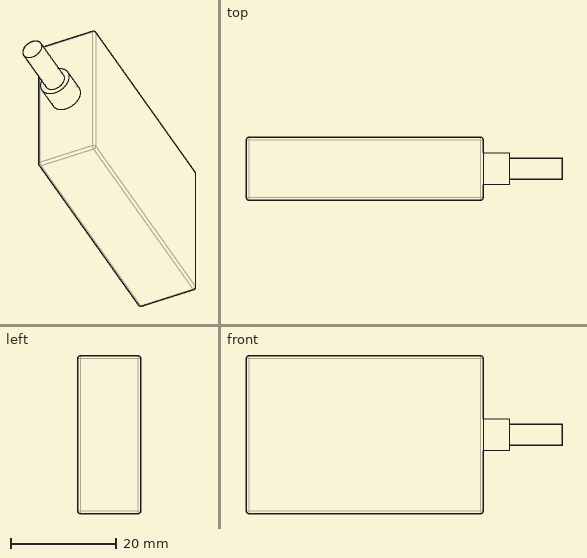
import cadquery as cq

housing_length = 45.0
housing_depth = 12.0
housing_height = 30.0
edge_radius = 0.5

collar_diameter = 6.0
collar_length = 5.0
cable_diameter = 4.0
cable_length = 10.0


def make_housing():
    """Block centred on the origin with every edge rounded."""
    block = cq.Workplane("XY").box(housing_length, housing_depth, housing_height)
    return block.edges().fillet(edge_radius)


def add_cable_outlet(housing):
    """Strain-relief collar and cable stub, coaxial on the +X face."""
    with_collar = housing.faces(">X").workplane(centerOption="CenterOfBoundBox")
    with_collar = with_collar.circle(collar_diameter / 2).extrude(collar_length)
    cable_start = with_collar.faces(">X").workplane(centerOption="CenterOfBoundBox")
    return cable_start.circle(cable_diameter / 2).extrude(cable_length)


result = add_cable_outlet(make_housing())